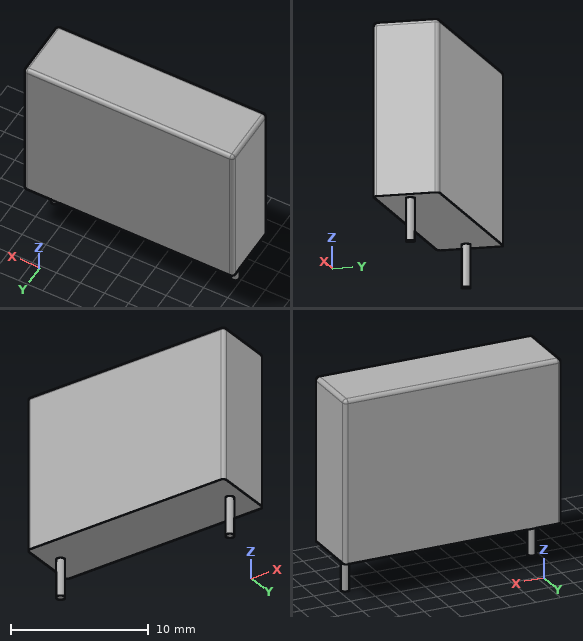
import cadquery as cq

HOUSING_LENGTH = 17.5
HOUSING_WIDTH = 5.0
HOUSING_HEIGHT = 13.0
EDGE_RADIUS = 0.3

PIN_SPACING = 15.0
PIN_DIAMETER = 0.65
PIN_LENGTH = 3.2


def make_housing():
    """Box with rounded upright and top edges and a sharp bottom rim."""
    box = cq.Workplane("XY").box(
        HOUSING_LENGTH, HOUSING_WIDTH, HOUSING_HEIGHT, centered=(True, True, False)
    )
    return box.edges("|Z or >Z").fillet(EDGE_RADIUS)


def make_pin(x):
    """Round pin hanging from the housing underside at the given X."""
    return cq.Workplane("XY").center(x, 0).circle(PIN_DIAMETER / 2).extrude(-PIN_LENGTH)


housing = make_housing()
pins = [make_pin(side * PIN_SPACING / 2) for side in (-1, 1)]

result = cq.Compound.makeCompound([housing.val(), *[pin.val() for pin in pins]])